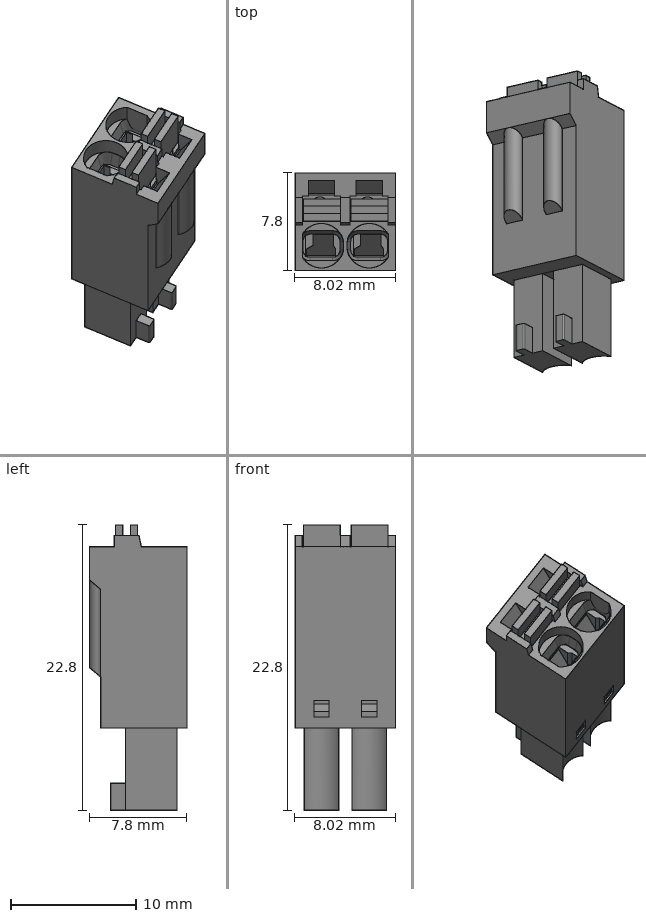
import cadquery as cq


pole_pitch = 3.81
pole_signs = (-1, 1)
total_height = 22.8

housing_width = 8.02
housing_depth = 7.8
body_depth = 6.9
housing_bottom = 6.58
housing_top = 21.06
shoulder_top = 21.97
shoulder_front_low = 3.65
shoulder_front_high = 3.84
shoulder_back = 5.84
overhang_low = 17.65
overhang_high = 18.4

rib_side_height = 0.12
rib_radius = housing_depth - body_depth - rib_side_height
rib_length = 7.0

button_width = 2.95
button_offset = 0.03
button_front = 3.95
button_back = 5.73
fin_thickness = 0.59
fin_gap_floor = housing_top
pocket_width = 3.04
pocket_front = 3.9
pocket_back = 5.96
pocket_floor = 19.5
seat_diameter = 1.2
seat_depth = 0.3
seat_offset = -0.13
seat_center_y = 5.28

slot_width = 2.1
slot_back = 7.18
slot_ramp_foot = 6.16
slot_front = 6.03
slot_floor = 19.1

entry_radius = 1.777
entry_center_y = 1.98
entry_depth = 1.5
outer_reach = 1.53
funnel_half_width = 1.75
funnel_half_depth = 1.2
funnel_corner_radius = 0.85
funnel_depth = 1.26
funnel_taper = 12.5
entry_floor = housing_top - entry_depth
funnel_bottom = entry_floor - funnel_depth

contact_left = -1.27
contact_right = 1.5
contact_front = 0.9
contact_back = 3.1
contact_bottom = 12.0
contact_top = funnel_bottom
throat_left = -1.19
throat_step = -0.68
throat_right = 1.13
throat_front = 1.2
throat_slant_front = 1.72
throat_slant_back = 2.0
throat_right_rear = 0.95
throat_back = 2.89

leaf_low = 14.7
leaf_high = 17.9

leg_width = 2.77
leg_front = 0.79
leg_back = 4.93
leg_hollow = 0.68
base_front = 1.08
base_top = 9.5
tongue_width = 0.8
tongue_back = 6.14
tongue_height = 2.18
tongue_edge_radius = 0.1

window_width = 1.23
window_bottom = 7.48
window_top = 8.78
nib_front = 0.15
nib_ramp_bottom = 7.92
nib_ramp_top = 8.48


def box(x_min, x_max, y_min, y_max, z_min, z_max):
    """Axis-aligned box given by its limits."""
    return (
        cq.Workplane("XY")
        .box(x_max - x_min, y_max - y_min, z_max - z_min, centered=False)
        .translate((x_min, y_min, z_min))
    )


def side_prism(points, width, center_x):
    """Outline of (y, z) points, extruded along X about center_x."""
    return (
        cq.Workplane("YZ", origin=(center_x, 0, 0))
        .polyline(points)
        .close()
        .extrude(width / 2, both=True)
    )


def pole_x(side):
    return side * pole_pitch / 2


def housing_block():
    outline = [
        (0, housing_bottom),
        (0, housing_top),
        (shoulder_front_low, housing_top),
        (shoulder_front_high, shoulder_top),
        (shoulder_back, shoulder_top),
        (shoulder_back, housing_top),
        (housing_depth, housing_top),
        (housing_depth, overhang_high),
        (body_depth, overhang_low),
        (body_depth, housing_bottom),
    ]
    return side_prism(outline, housing_width, 0)


def back_rib(x):
    """Rounded rib whose lower end slopes parallel to the overhang."""
    flank_y = body_depth + rib_side_height
    section = (
        cq.Workplane("XY", origin=(x, 0, overhang_low - rib_length))
        .moveTo(-rib_radius, shoulder_back)
        .lineTo(-rib_radius, flank_y)
        .threePointArc((0, housing_depth), (rib_radius, flank_y))
        .lineTo(rib_radius, shoulder_back)
        .close()
        .extrude(overhang_high - overhang_low + rib_length)
    )
    slanted_band = side_prism(
        [
            (body_depth, overhang_low),
            (housing_depth, overhang_high),
            (housing_depth, overhang_high - rib_length),
            (body_depth, overhang_low - rib_length),
        ],
        housing_width,
        0,
    )
    return section.intersect(slanted_band)


def button_pocket(x):
    half = pocket_width / 2
    well = box(x - half, x + half, pocket_front, pocket_back, pocket_floor, housing_top)
    shoulder_gap = box(
        x - half, x + half, shoulder_front_low, pocket_back, housing_top, shoulder_top
    )
    seat = (
        cq.Workplane("XY", origin=(x + seat_offset, seat_center_y, pocket_floor - seat_depth))
        .circle(seat_diameter / 2)
        .extrude(seat_depth)
    )
    return well.union(shoulder_gap).union(seat)


def test_slot(x):
    """Slot behind the button with a steep ramp as its back wall."""
    outline = [
        (slot_front, slot_floor),
        (slot_ramp_foot, slot_floor),
        (slot_back, housing_top),
        (pocket_back, housing_top),
        (pocket_back, pocket_floor),
        (slot_front, pocket_floor),
    ]
    return side_prism(outline, slot_width, x)


def wire_entry(side):
    """Round entry, flattened toward the side wall, with a tapered funnel below."""
    x = pole_x(side)
    bore = (
        cq.Workplane("XY", origin=(x, entry_center_y, entry_floor))
        .circle(entry_radius)
        .extrude(entry_depth)
    )
    flat_edge = x + side * outer_reach
    inner_edge = x - side * entry_radius
    keep = box(
        min(flat_edge, inner_edge),
        max(flat_edge, inner_edge),
        0,
        housing_depth,
        funnel_bottom,
        housing_top,
    )
    funnel = (
        cq.Workplane("XY", origin=(x, entry_center_y, entry_floor))
        .sketch()
        .rect(2 * funnel_half_width, 2 * funnel_half_depth)
        .vertices()
        .fillet(funnel_corner_radius)
        .finalize()
        .extrude(-funnel_depth, taper=funnel_taper)
    )
    return bore.union(funnel).intersect(keep)


def contact_envelope(x):
    return box(
        x + contact_left,
        x + contact_right,
        contact_front,
        contact_back,
        contact_bottom,
        contact_top,
    )


def latch_window(x):
    half = window_width / 2
    return box(x - half, x + half, 0, base_front, window_bottom, window_top)


def insert_base():
    half = (pole_pitch + leg_width) / 2
    return box(-half, half, base_front, leg_back, housing_bottom, base_top)


def make_housing():
    body = housing_block().cut(insert_base())
    for side in pole_signs:
        x = pole_x(side)
        body = body.union(back_rib(x))
        body = body.cut(button_pocket(x))
        body = body.cut(test_slot(x))
        body = body.cut(contact_envelope(x))
        body = body.cut(wire_entry(side))
        body = body.cut(latch_window(x))
    return body


def plug_leg(x):
    half = leg_width / 2
    return (
        cq.Workplane("XY", origin=(x, 0, 0))
        .moveTo(-half, leg_front)
        .threePointArc((0, leg_front + leg_hollow), (half, leg_front))
        .lineTo(half, leg_back)
        .lineTo(-half, leg_back)
        .close()
        .extrude(housing_bottom)
    )


def leg_tongue(x):
    half = tongue_width / 2
    tongue = box(x - half, x + half, leg_back, tongue_back, 0, tongue_height)
    return tongue.edges("|Z and >Y").fillet(tongue_edge_radius)


def latch_nib(x):
    outline = [
        (base_front, window_bottom),
        (nib_front, window_bottom),
        (nib_front, nib_ramp_bottom),
        (base_front, nib_ramp_top),
    ]
    return side_prism(outline, window_width, x)


def make_insert():
    body = insert_base()
    for side in pole_signs:
        x = pole_x(side)
        body = body.union(plug_leg(x)).union(leg_tongue(x)).union(latch_nib(x))
    return body


def make_button(side):
    x_min = pole_x(side) + button_offset - button_width / 2
    x_max = x_min + button_width
    block = box(x_min, x_max, button_front, button_back, pocket_floor, total_height)
    gap = box(
        x_min,
        x_max,
        button_front + fin_thickness,
        button_back - fin_thickness,
        fin_gap_floor,
        total_height,
    )
    return block.cut(gap)


def contact_throat(x):
    outline = [
        (throat_left, throat_front),
        (throat_right, throat_front),
        (throat_right, throat_slant_front),
        (throat_right_rear, throat_slant_back),
        (throat_right_rear, throat_back),
        (throat_step, throat_back),
        (throat_step, throat_slant_back),
        (throat_left, throat_slant_front),
    ]
    return (
        cq.Workplane("XY", origin=(x, 0, contact_bottom))
        .polyline(outline)
        .close()
        .extrude(contact_top - contact_bottom)
    )


def make_contact(side):
    x = pole_x(side)
    return contact_envelope(x).cut(contact_throat(x))


def make_spring(side):
    x = pole_x(side)
    leaf_outline = [
        (throat_front, contact_bottom),
        (throat_front, leaf_low),
        (throat_back, leaf_high),
        (throat_back, contact_bottom),
    ]
    leaf = side_prism(leaf_outline, 2 * contact_right, x)
    return leaf.intersect(contact_throat(x))


housing = make_housing()
insert = make_insert()
buttons = [make_button(side) for side in pole_signs]
contacts = [make_contact(side) for side in pole_signs]
springs = [make_spring(side) for side in pole_signs]

bodies = [housing, insert, *buttons, *contacts, *springs]
result = cq.Compound.makeCompound([body.solids().val() for body in bodies])